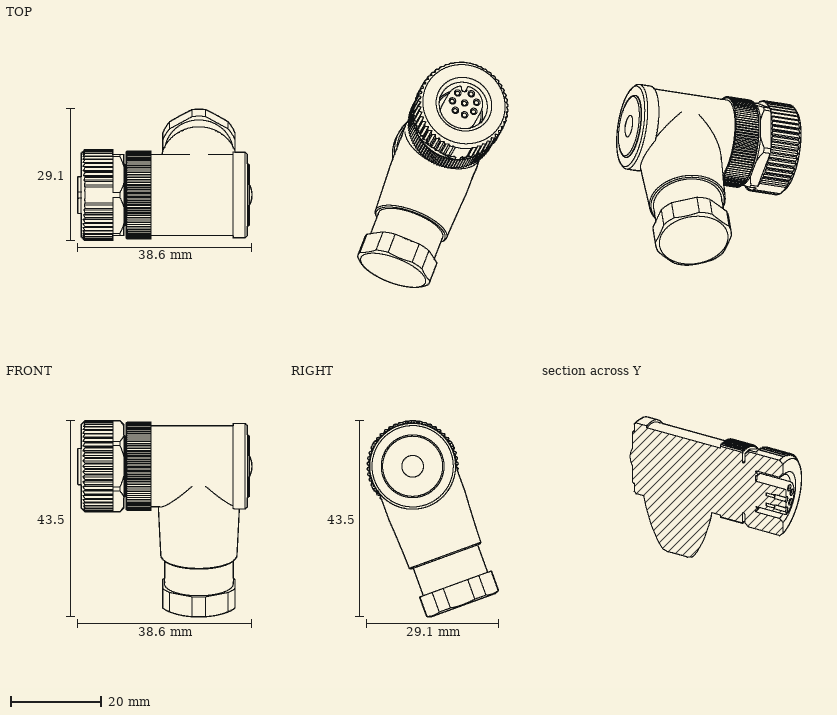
import cadquery as cq
import math


nut_front = 0.78
nut_knurl_end = 7.78
nut_back = 10.23
collar_end = 10.5
ring_front = 10.75
ring_back = 16.27
cap_front = 34.4
cap_back = 37.55
disc_back = 37.97
overall_length = 38.6

nut_radius = 10.1
nut_flat_distance = 9.0
nut_edge_chamfer = 0.85
nut_groove_depth = 0.48
nut_groove_pitch = 7.0
grooves_per_quarter = 12
groove_step_angle = 45.0
groove_full_lean = 0.53
groove_overshoot = 1.05
bore_radius = 5.42
bore_mouth_radius = 6.26
bore_floor = 7.5

insert_radius = 4.1
insert_edge_radius = 0.28
seal_major_radius = 4.6
seal_minor_radius = 0.48
pin_circle_radius = 2.74
pin_gap_angle = 68.0
outer_pin_count = 7
pin_hole_radius = 0.47
pin_mouth_radius = 0.74
pin_hole_depth = 3.0
contact_radius = 0.3
contact_depth = 2.0
keyway_center_radius = 3.45
keyway_half_width = 0.68

collar_radius = 7.0
neck_radius = 6.7
ring_radius = 9.77
ring_tooth_count = 100
ring_tooth_depth = 0.3
ring_chamfer = 0.25
body_radius = 9.0
cap_radius = 9.5
cap_edge_chamfer = 0.5
disc_radius = 6.95
disc_chamfer = 0.3
dome_radius = 2.4

branch_x = 26.83
branch_tilt = 20.0
branch_straight_end = 9.46
sleeve_end = 21.25
sleeve_end_radius = 8.45
sleeve_chamfer = 0.3
stem_radius = 7.6
gland_start = 27.7
gland_end = 32.71
gland_corner_radius = 8.5
gland_flat_distance = 8.0
gland_chamfer_length = 0.4
gland_end_radius = 7.65


def turned(points):
    """Solid of revolution about X from (x, radius) points; it is closed along the axis."""
    outline = cq.Workplane("XY").moveTo(points[0][0], 0)
    for point in points:
        outline = outline.lineTo(*point)
    outline = outline.lineTo(points[-1][0], 0).close()
    return outline.revolve(360, (0, 0, 0), (1, 0, 0))


def cylinder(start, end, radius):
    return turned([(start, radius), (end, radius)])


def section(x):
    """Workplane across the main axis at x, with local axes along Y and Z."""
    return cq.Workplane("YZ", origin=(x, 0, 0))


def polar(radius, degrees):
    angle = math.radians(degrees)
    return (radius * math.cos(angle), radius * math.sin(angle))


def hexagon_prism(plane, flat_distance, length):
    """Hexagonal prism with two opposite corners on the second local axis of the plane."""
    corner_radius = flat_distance / math.cos(math.radians(30))
    corners = [polar(corner_radius, 30 + 60 * i) for i in range(6)]
    return plane.polyline(corners).close().extrude(length)


def groove_outline(angle):
    """Corners of a groove cutter for an angle of 0 to 90 degrees from +Y.

    Up to the step angle the groove is a 90 degree V pointing at the axis. Beyond that one wall stays
    parallel to Y and the other leans over more and more, so that the groove becomes a shallow step.
    """
    half_width = math.degrees(nut_groove_depth / nut_radius)
    lower_rim = polar(nut_radius, angle - half_width)
    upper_rim = polar(nut_radius, angle + half_width)
    if angle <= groove_step_angle:
        valley = polar(nut_radius - nut_groove_depth, angle)
    else:
        lean = groove_full_lean * (angle - groove_step_angle) / (90 - groove_step_angle)
        valley = (upper_rim[0] + lean, lower_rim[1])

    def past_rim(rim):
        return tuple(v + groove_overshoot * (r - v) for v, r in zip(valley, rim))

    outside = polar(groove_overshoot * nut_radius, angle)
    return [valley, past_rim(lower_rim), outside, past_rim(upper_rim)]


def nut_grooves():
    """Groove cutters on the +Y and -Y sides; plain strips remain at top and bottom."""
    cutters = []
    for side in (1, -1):
        for i in range(-grooves_per_quarter, grooves_per_quarter + 1):
            half = 1 if i >= 0 else -1
            corners = [(side * y, half * z) for y, z in groove_outline(abs(i) * nut_groove_pitch)]
            cutter = section(nut_front).polyline(corners).close().extrude(nut_knurl_end - nut_front)
            cutters.append(cutter.val())
    return cq.Workplane("XY").newObject([cq.Compound.makeCompound(cutters)])


def coupling_nut():
    edge_radius = nut_radius - nut_edge_chamfer
    blank = turned([
        (nut_front, edge_radius),
        (nut_front + nut_edge_chamfer, nut_radius),
        (nut_back - nut_edge_chamfer, nut_radius),
        (nut_back, edge_radius),
    ])
    bore = turned([
        (nut_front, bore_mouth_radius),
        (nut_front + bore_mouth_radius - bore_radius, bore_radius),
        (bore_floor, bore_radius),
    ])
    hexagon_length = nut_back - nut_knurl_end
    clear_radius = 2 * nut_radius
    around_hexagon = cylinder(nut_knurl_end, nut_back, clear_radius).cut(
        hexagon_prism(section(nut_knurl_end), nut_flat_distance, hexagon_length)
    )
    return blank.cut(around_hexagon).cut(nut_grooves()).cut(bore)


def pin_hole(y, z):
    countersink_depth = pin_mouth_radius - pin_hole_radius
    hole = turned([
        (0, pin_mouth_radius),
        (countersink_depth, pin_hole_radius),
        (pin_hole_depth, pin_hole_radius),
        (pin_hole_depth, contact_radius),
        (pin_hole_depth + contact_depth, contact_radius),
    ])
    return hole.translate((0, y, z))


def keyway():
    """Round-bottomed slot, open towards the top of the insert."""
    height = 2 * (insert_radius - keyway_center_radius)
    bottom = section(0).center(0, keyway_center_radius).circle(keyway_half_width).extrude(bore_floor)
    opening = (
        section(0)
        .center(0, keyway_center_radius + height / 2)
        .rect(2 * keyway_half_width, height)
        .extrude(bore_floor)
    )
    return bottom.union(opening)


def contact_insert():
    """Insert with its front rim and keyway edges rounded, and one central and seven outer pin holes."""
    insert = cylinder(0, bore_floor, insert_radius).cut(keyway())
    rim_edges = insert.faces("<X").edges().vals()
    keyway_edges = insert.edges("|X").edges(cq.selectors.BoxSelector(
        (0, -2 * keyway_half_width, keyway_center_radius + keyway_half_width / 2),
        (bore_floor, 2 * keyway_half_width, insert_radius),
    )).vals()
    insert = insert.newObject(rim_edges + keyway_edges).fillet(insert_edge_radius)

    pin_step = (360 - pin_gap_angle) / (outer_pin_count - 1)
    first_pin = 90 + pin_gap_angle / 2
    insert = insert.cut(pin_hole(0, 0))
    for i in range(outer_pin_count):
        insert = insert.cut(pin_hole(*polar(pin_circle_radius, first_pin + i * pin_step)))
    return insert


def seal_ring():
    return (
        cq.Workplane("XY")
        .center(bore_floor, seal_major_radius)
        .circle(seal_minor_radius)
        .revolve(360, (0, -seal_major_radius, 0), (1, -seal_major_radius, 0))
    )


def knurled_ring():
    half_pitch = 180 / ring_tooth_count
    valley_radius = ring_radius - ring_tooth_depth
    points = []
    for i in range(ring_tooth_count):
        points.append(polar(valley_radius, 2 * i * half_pitch))
        points.append(polar(ring_radius, (2 * i + 1) * half_pitch))
    teeth = section(ring_front).polyline(points).close().extrude(ring_back - ring_front)
    envelope = turned([
        (ring_front, ring_radius - ring_chamfer),
        (ring_front + ring_chamfer, ring_radius),
        (ring_back, ring_radius),
    ])
    return teeth.intersect(envelope)


def main_body():
    collar = turned([(nut_back, collar_radius), (collar_end, neck_radius), (ring_front, neck_radius)])
    barrel = cylinder(ring_back, cap_front, body_radius)
    cap = turned([
        (cap_front, cap_radius),
        (cap_back - cap_edge_chamfer, cap_radius),
        (cap_back, cap_radius - cap_edge_chamfer),
    ])
    disc = turned([
        (cap_back, disc_radius),
        (disc_back - disc_chamfer, disc_radius),
        (disc_back, disc_radius - disc_chamfer),
    ])
    return collar.union(knurled_ring()).union(barrel).union(cap).union(disc).union(end_dome())


def end_dome():
    height = overall_length - disc_back
    sphere_radius = (dome_radius ** 2 + height ** 2) / (2 * height)
    half_angle = math.asin(dome_radius / sphere_radius) / 2
    sphere_center = overall_length - sphere_radius
    arc_middle = (
        sphere_center + sphere_radius * math.cos(half_angle),
        sphere_radius * math.sin(half_angle),
    )
    return (
        cq.Workplane("XY")
        .moveTo(disc_back, 0)
        .lineTo(disc_back, dome_radius)
        .threePointArc(arc_middle, (overall_length, 0))
        .close()
        .revolve(360, (0, 0, 0), (1, 0, 0))
    )


def cable_branch():
    """Branch built along +X, then turned to its direction below the body."""
    sleeve = turned([
        (0, body_radius),
        (branch_straight_end, body_radius),
        (sleeve_end - sleeve_chamfer, sleeve_end_radius),
        (sleeve_end, sleeve_end_radius - sleeve_chamfer),
    ])
    stem = cylinder(sleeve_end, gland_start, stem_radius)
    gland_envelope = turned([
        (gland_start, gland_corner_radius),
        (gland_end - gland_chamfer_length, gland_corner_radius),
        (gland_end, gland_end_radius),
    ])
    gland = hexagon_prism(section(gland_start), gland_flat_distance, gland_end - gland_start)
    gland = gland.intersect(gland_envelope)
    branch = sleeve.union(stem).union(gland)

    branch = branch.rotate((0, 0, 0), (1, 0, 0), 90)
    branch = branch.rotate((0, 0, 0), (0, 1, 0), 90)
    branch = branch.rotate((0, 0, 0), (1, 0, 0), branch_tilt)
    return branch.translate((branch_x, 0, 0))


result = (
    coupling_nut()
    .union(contact_insert())
    .union(seal_ring())
    .union(main_body())
    .union(cable_branch())
)